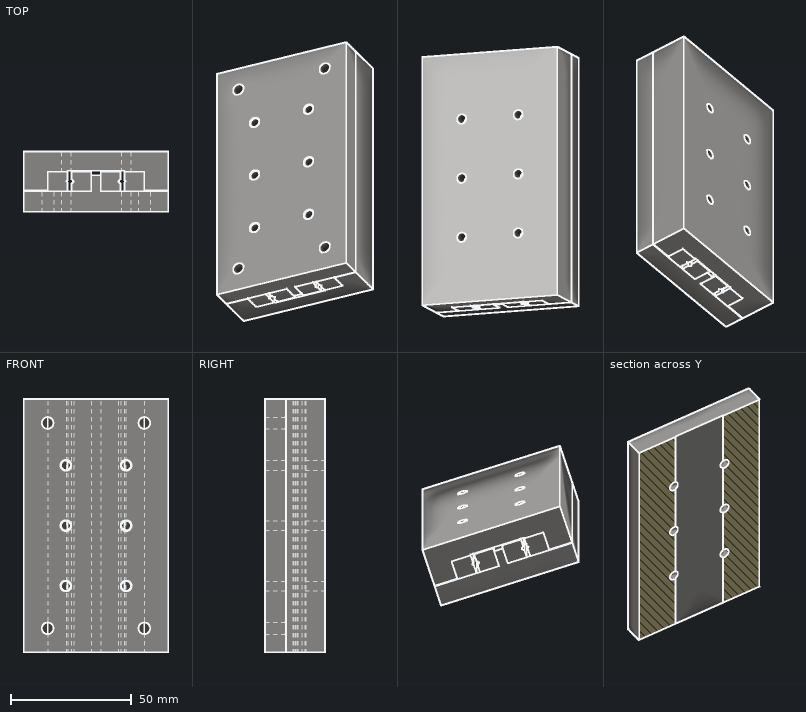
import cadquery as cq

WIDTH = 60.0
DEPTH = 25.0
LENGTH = 105.0

BASE_THICKNESS = 8.6
TABLE_GAP = 0.26
RAIL_THICKNESS = 8.0
RAIL_CLEARANCE = 0.3
RIB_HEIGHT = 6.6

TABLE_FRONT = BASE_THICKNESS + TABLE_GAP
RAIL_BACK = BASE_THICKNESS + RAIL_THICKNESS
RAIL_MIDDLE = BASE_THICKNESS + RAIL_THICKNESS / 2
RELIEF_BACK = RAIL_BACK + RAIL_CLEARANCE

RIB_WIDTH = 3.8
RAIL_WIDTH = 8.3
CHANNEL_WIDTH = 40.0

INNER_RAIL_START = RIB_WIDTH / 2
INNER_RAIL_END = INNER_RAIL_START + RAIL_WIDTH
OUTER_RAIL_END = CHANNEL_WIDTH / 2
OUTER_RAIL_START = OUTER_RAIL_END - RAIL_WIDTH

INNER_GROOVE_DEPTH = 0.9
OUTER_GROOVE_DEPTH = 0.5

CORNER_HOLE_DIAMETER = 4.8
CORNER_HOLE_PITCH_X = CHANNEL_WIDTH
CORNER_HOLE_PITCH_Z = 85.0
INNER_HOLE_DIAMETER = 4.0
INNER_HOLE_MOUTH_DIAMETER = 4.5
MOUTH_SLOPE = 45
INNER_HOLE_PITCH_X = 25.0
INNER_HOLE_PITCH_Z = 25.0
INNER_HOLE_ROWS = 3


def bar(x_start, x_end, y_start, y_end):
    """Full-length bar between two X and two Y positions."""
    return (
        cq.Workplane("XY")
        .box(x_end - x_start, y_end - y_start, LENGTH, centered=False)
        .translate((x_start, y_start, -LENGTH / 2))
    )


def corner_holes(y_start, y_end):
    """Four cylinders along Y near the corners."""
    return (
        cq.Workplane("XZ", origin=(0, y_start, 0))
        .rarray(CORNER_HOLE_PITCH_X, CORNER_HOLE_PITCH_Z, 2, 2)
        .circle(CORNER_HOLE_DIAMETER / 2)
        .extrude(y_start - y_end)
    )


def inner_hole_sketch(diameter, y_start):
    """Two columns of circles in the XZ plane at y_start."""
    return (
        cq.Workplane("XZ", origin=(0, y_start, 0))
        .rarray(INNER_HOLE_PITCH_X, INNER_HOLE_PITCH_Z, 2, INNER_HOLE_ROWS)
        .circle(diameter / 2)
    )


def inner_holes(y_start, y_end):
    return inner_hole_sketch(INNER_HOLE_DIAMETER, y_start).extrude(y_start - y_end)


def inner_hole_mouths():
    """Cones that chamfer the inner holes at the front face of the base."""
    chamfer = (INNER_HOLE_MOUTH_DIAMETER - INNER_HOLE_DIAMETER) / 2
    return inner_hole_sketch(INNER_HOLE_MOUTH_DIAMETER, 0).extrude(-chamfer, taper=MOUTH_SLOPE)


def make_base():
    """Front plate with a centre rib, four corner holes and six chamfered inner holes."""
    plate = bar(-WIDTH / 2, WIDTH / 2, 0, BASE_THICKNESS)
    rib = bar(-RIB_WIDTH / 2, RIB_WIDTH / 2, BASE_THICKNESS, BASE_THICKNESS + RIB_HEIGHT)
    return (
        plate.union(rib)
        .cut(corner_holes(0, BASE_THICKNESS))
        .cut(inner_holes(0, BASE_THICKNESS))
        .cut(inner_hole_mouths())
    )


def make_table():
    """Back plate with a stepped channel for the rails and six through holes."""
    block = bar(-WIDTH / 2, WIDTH / 2, TABLE_FRONT, DEPTH)
    channel = bar(-CHANNEL_WIDTH / 2, CHANNEL_WIDTH / 2, TABLE_FRONT, RAIL_BACK)
    relief = bar(-OUTER_RAIL_START, OUTER_RAIL_START, RAIL_BACK, RELIEF_BACK)
    return block.cut(channel).cut(relief).cut(inner_holes(RAIL_BACK, DEPTH))


def make_rail(x_start, x_end, groove_x, groove_depth):
    """Rail with a V groove centred on its side at groove_x."""
    groove = (
        cq.Workplane("XY", origin=(groove_x, RAIL_MIDDLE, -LENGTH / 2))
        .polyline([(-groove_depth, 0), (0, groove_depth), (groove_depth, 0), (0, -groove_depth)])
        .close()
        .extrude(LENGTH)
    )
    return bar(x_start, x_end, BASE_THICKNESS, RAIL_BACK).cut(groove).solids()


def make_inner_rail():
    return make_rail(INNER_RAIL_START, INNER_RAIL_END, INNER_RAIL_END, INNER_GROOVE_DEPTH)


def make_outer_rail():
    return make_rail(OUTER_RAIL_START, OUTER_RAIL_END, OUTER_RAIL_START, OUTER_GROOVE_DEPTH)


base = make_base().solids()
table = make_table().solids()

rails = []
for right_rail in (make_inner_rail(), make_outer_rail()):
    left_rail = right_rail.mirror("YZ")
    rails += [right_rail.val(), left_rail.val()]

result = cq.Compound.makeCompound([base.val(), table.val(), *rails])